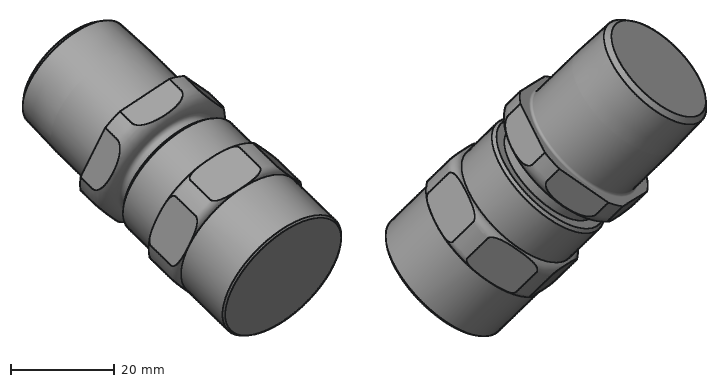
import cadquery as cq
import math


ACROSS_FLATS = 30.0
CORNER_RADIUS = 32.45 / 2

TOTAL_LENGTH = 64.8

BARREL_RADIUS = 26.7 / 2
TAPER_LENGTH = 10.2
TAPER_RATIO = 1 / 16
NIPPLE_CHAMFER = 1.05
FLANGE_START = 22.5
FLANGE_END = 29.55
FLANGE_ROUND = 3.5
BARREL_FILLET = 0.5
NECK_RADIUS = 23.3 / 2
NECK_FILLET = 1.0

NUT_START = 32.6
COLLAR_RADIUS = 28.6 / 2
COLLAR_CHAMFER = 0.65
HEX_START = 42.3
HEX_END = 51.85
HEX_ROUND = 1.75
SLEEVE_RADIUS = 29.9 / 2
SLEEVE_CHAMFER = 0.4


def diagonal_point(center_x, center_r, radius, side_x, side_r):
    """Middle point of a quarter arc, on the side of its centre given by the two signs."""
    offset = radius * math.sqrt(0.5)
    return (center_x + side_x * offset, center_r + side_r * offset)


def turn_and_mill(half_profile, start, end):
    """Revolve a half profile about X and trim it with a hexagonal prism, flats facing +Z and -Z."""
    turned = half_profile.close().revolve(360, (0, 0, 0), (1, 0, 0))
    prism = (
        cq.Workplane("YZ", origin=(start, 0, 0))
        .polygon(6, ACROSS_FLATS / math.cos(math.pi / 6))
        .extrude(end - start)
    )
    return turned.intersect(prism).solids()


def make_nipple():
    tip_radius = BARREL_RADIUS - TAPER_RATIO * TAPER_LENGTH / 2
    fillet_x = FLANGE_START - BARREL_FILLET
    fillet_r = BARREL_RADIUS + BARREL_FILLET
    round_x = FLANGE_END - FLANGE_ROUND
    round_r = CORNER_RADIUS - FLANGE_ROUND
    neck_x = FLANGE_END + NECK_FILLET
    neck_r = NECK_RADIUS + NECK_FILLET
    half_profile = (
        cq.Workplane("XY")
        .moveTo(0, 0)
        .lineTo(0, tip_radius - NIPPLE_CHAMFER)
        .lineTo(NIPPLE_CHAMFER, tip_radius)
        .lineTo(TAPER_LENGTH, BARREL_RADIUS)
        .lineTo(fillet_x, BARREL_RADIUS)
        .threePointArc(diagonal_point(fillet_x, fillet_r, BARREL_FILLET, 1, -1), (FLANGE_START, fillet_r))
        .lineTo(FLANGE_START, CORNER_RADIUS)
        .lineTo(round_x, CORNER_RADIUS)
        .threePointArc(diagonal_point(round_x, round_r, FLANGE_ROUND, 1, 1), (FLANGE_END, round_r))
        .lineTo(FLANGE_END, neck_r)
        .threePointArc(diagonal_point(neck_x, neck_r, NECK_FILLET, -1, -1), (neck_x, NECK_RADIUS))
        .lineTo(NUT_START, NECK_RADIUS)
        .lineTo(NUT_START, 0)
    )
    return turn_and_mill(half_profile, 0, NUT_START)


def make_nut():
    round_r = CORNER_RADIUS - HEX_ROUND
    front_x = HEX_START + HEX_ROUND
    rear_x = HEX_END - HEX_ROUND
    sleeve_rise = SLEEVE_RADIUS - round_r
    sleeve_start = rear_x + math.sqrt(HEX_ROUND**2 - sleeve_rise**2)
    half_profile = (
        cq.Workplane("XY")
        .moveTo(NUT_START, 0)
        .lineTo(NUT_START, COLLAR_RADIUS - COLLAR_CHAMFER)
        .lineTo(NUT_START + COLLAR_CHAMFER, COLLAR_RADIUS)
        .lineTo(HEX_START, COLLAR_RADIUS)
        .lineTo(HEX_START, round_r)
        .threePointArc(diagonal_point(front_x, round_r, HEX_ROUND, -1, 1), (front_x, CORNER_RADIUS))
        .lineTo(rear_x, CORNER_RADIUS)
        .threePointArc(diagonal_point(rear_x, round_r, HEX_ROUND, 1, 1), (sleeve_start, SLEEVE_RADIUS))
        .lineTo(TOTAL_LENGTH - SLEEVE_CHAMFER, SLEEVE_RADIUS)
        .lineTo(TOTAL_LENGTH, SLEEVE_RADIUS - SLEEVE_CHAMFER)
        .lineTo(TOTAL_LENGTH, 0)
    )
    return turn_and_mill(half_profile, NUT_START, TOTAL_LENGTH)


nipple = make_nipple()
nut = make_nut()

result = cq.Compound.makeCompound([nipple.val(), nut.val()])